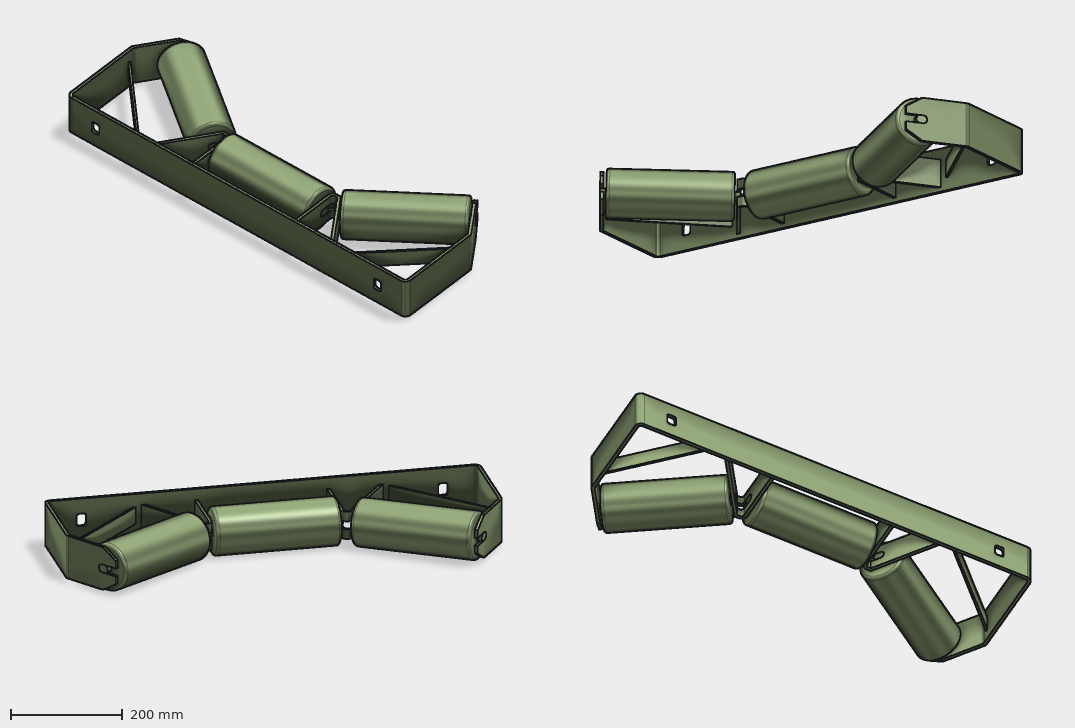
import cadquery as cq
import math

frame_width = 800.0
strip_height = 82.0
plate_thickness = 6.0
bend_radius = 12.0
inner_bend_radius = bend_radius - plate_thickness
trough_angle = 35.0

roller_diameter = 89.0
roller_length = 230.0
roller_edge_radius = 6.0
shaft_width = 21.0
shaft_height = 15.0
center_gap = 3.0
wing_gap = 4.4
center_roller_y = 98.0
center_roller_z = -6.0

wing_corner_y = 178.0
wing_length = 118.0
tip_chamfer_length = 30.0
tip_chamfer_height = 18.0
wing_axis_distance = 88.0
slot_length = 48.0

hole_spacing = 664.0
hole_width = 18.0
hole_height = 24.0
hole_corner_radius = 5.0

bracket_height = 52.0
bracket_top_y = 126.0

brace_height = 32.0
brace_thickness = 4.0
brace_top_y = 168.0

slope = math.radians(trough_angle)
axis_x = math.cos(slope)
axis_y = -math.sin(slope)
rise_x = math.sin(slope)
rise_y = math.cos(slope)

half_width = frame_width / 2
center_reach = roller_length / 2 + center_gap
wing_reach = roller_length / 2 + wing_gap
wing_shaft_half = wing_reach + plate_thickness
center_shaft_half = center_reach + plate_thickness

wing_center_x = -half_width + wing_axis_distance * rise_x + wing_shaft_half * axis_x
wing_center_y = wing_corner_y + wing_axis_distance * rise_y + wing_shaft_half * axis_y
wing_center_z = center_roller_z / 2
wing_tilt = math.degrees(math.asin(-wing_center_z / wing_shaft_half))


def mirrored(body):
    return body.mirror("YZ")


def upright_plate(outline, height, z_middle):
    """Plate of constant height over a closed list of plan points."""
    base = cq.Workplane("XY").workplane(offset=z_middle - height / 2)
    return base.polyline(outline).close().extrude(height)


def round_corner(plate, point, z_middle, radius):
    """Round the vertical edge that stands on a plan point."""
    edge = cq.selectors.NearestToPointSelector((point[0], point[1], z_middle))
    return plate.edges(edge).fillet(radius)


def at_center(body):
    return body.translate((0, center_roller_y, center_roller_z))


def at_left_wing(body):
    tilted = body.rotate((0, 0, 0), (0, 1, 0), wing_tilt)
    turned = tilted.rotate((0, 0, 0), (0, 0, 1), -trough_angle)
    return turned.translate((wing_center_x, wing_center_y, wing_center_z))


def make_shaft(half_length):
    profile = cq.Workplane("YZ").workplane(offset=-half_length).slot2D(shaft_width, shaft_height)
    return profile.extrude(2 * half_length)


def make_roller(shaft_half):
    """Roller along X, centered on the origin, in one piece with its shaft."""
    drum = cq.Workplane("YZ").workplane(offset=-roller_length / 2).circle(roller_diameter / 2)
    drum = drum.extrude(roller_length).faces("<X or >X").edges().fillet(roller_edge_radius)
    return drum.union(make_shaft(shaft_half))


def make_shaft_slot(shaft_half):
    """Room that a shaft needs to drop sideways into its plates."""
    half_length = shaft_half + plate_thickness
    way_in = cq.Workplane("XY").box(2 * half_length, slot_length, shaft_height)
    return make_shaft(half_length).union(way_in.translate((0, slot_length / 2, 0)))


center_roller = at_center(make_roller(center_shaft_half))
left_wing_roller = at_left_wing(make_roller(wing_shaft_half))
center_slot = at_center(make_shaft_slot(center_shaft_half))
left_wing_slot = at_left_wing(make_shaft_slot(wing_shaft_half))


def make_tip_cutters(tip_x, tip_y):
    """Wedges that chamfer the two corners of the sloping end."""
    cutters = cq.Workplane("XY")
    for side in (1, -1):
        edge_z = side * strip_height / 2
        wedge = cq.Workplane("YZ").polyline([
            (0, edge_z),
            (-tip_chamfer_length, edge_z),
            (0, edge_z - side * tip_chamfer_height),
        ]).close().extrude(2 * plate_thickness, both=True)
        cutters = cutters.add(wedge)
    turned = cutters.combine().rotate((0, 0, 0), (0, 0, 1), -trough_angle)
    return turned.translate((tip_x, tip_y, 0))


def make_half_frame():
    tip_x = -half_width + wing_length * rise_x
    tip_y = wing_corner_y + wing_length * rise_y
    outer_base = (-half_width, 0)
    outer_bend = (-half_width, wing_corner_y)
    inner_x = -half_width + plate_thickness
    inner_base = (inner_x, plate_thickness)
    inner_bend = (inner_x, wing_corner_y - plate_thickness * math.tan(slope / 2))
    inner_tip = (tip_x + plate_thickness * axis_x, tip_y + plate_thickness * axis_y)
    half = upright_plate(
        [
            (0, 0),
            outer_base,
            outer_bend,
            (tip_x, tip_y),
            inner_tip,
            inner_bend,
            inner_base,
            (0, plate_thickness),
        ],
        strip_height, 0,
    )
    for corner in (outer_base, outer_bend):
        half = round_corner(half, corner, 0, bend_radius)
    for corner in (inner_base, inner_bend):
        half = round_corner(half, corner, 0, inner_bend_radius)
    return half.cut(make_tip_cutters(tip_x, tip_y)).cut(left_wing_slot)


def make_frame():
    half = make_half_frame()
    holes = cq.Workplane("XZ").pushPoints([(-hole_spacing / 2, 0), (hole_spacing / 2, 0)])
    holes = holes.rect(hole_width, hole_height).extrude(-plate_thickness)
    return half.union(mirrored(half)).cut(holes.edges("|Y").fillet(hole_corner_radius))


def make_left_bracket():
    """Bent strip with a sloping leg for the wing roller and an upright leg for the center one."""
    def sloping_leg_point(reach, y):
        face_x = wing_center_x + reach * axis_x
        face_y = wing_center_y + reach * axis_y
        return (face_x + (y - face_y) * math.tan(slope), y)

    foot_y = plate_thickness
    under_top_y = bracket_top_y - plate_thickness
    outer_bend = (-center_reach, bracket_top_y)
    inner_bend = (-center_shaft_half, under_top_y)
    bracket = upright_plate(
        [
            sloping_leg_point(wing_reach, foot_y),
            sloping_leg_point(wing_reach, bracket_top_y),
            outer_bend,
            (-center_reach, foot_y),
            (-center_shaft_half, foot_y),
            inner_bend,
            sloping_leg_point(wing_shaft_half, under_top_y),
            sloping_leg_point(wing_shaft_half, foot_y),
        ],
        bracket_height, center_roller_z,
    )
    bracket = round_corner(bracket, outer_bend, center_roller_z, bend_radius)
    bracket = round_corner(bracket, inner_bend, center_roller_z, inner_bend_radius)
    return bracket.cut(center_slot).cut(left_wing_slot)


def make_left_brace():
    """Flat bar at 45 degrees between the upright and the base of the frame."""
    side_x = -half_width + plate_thickness
    run = brace_top_y - plate_thickness
    width = brace_thickness * math.sqrt(2)
    outline = [
        (side_x, brace_top_y),
        (side_x + run, plate_thickness),
        (side_x + run - width, plate_thickness),
        (side_x, brace_top_y - width),
    ]
    return upright_plate(outline, brace_height, 0)


frame = make_frame()
left_bracket = make_left_bracket()
left_brace = make_left_brace()

side_bodies = []
for left_body in (left_wing_roller, left_bracket, left_brace):
    for body in (left_body, mirrored(left_body)):
        side_bodies += body.solids().vals()

result = cq.Compound.makeCompound([
    frame.solids().val(),
    center_roller.solids().val(),
    *side_bodies,
])